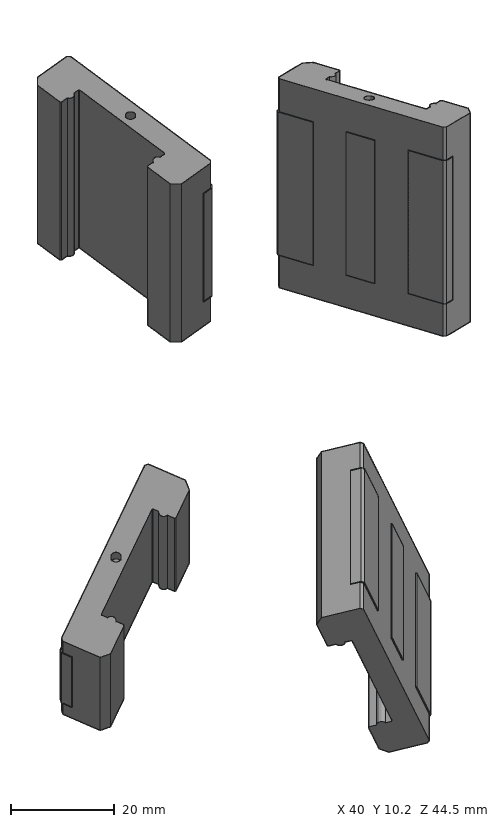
import cadquery as cq

length = 44.5
overall_width = 40.0
overall_depth = 10.2
side_pad_thickness = 0.165
back_pad_thickness = 0.245
body_width = overall_width - 2 * side_pad_thickness
body_depth = overall_depth - back_pad_thickness
front_chamfer = 1.5
back_chamfer = 0.55

channel_width = 23.75
channel_depth = 4.95
edge_chamfer = 0.2
rib_radius = 1.0
rib_height = 0.62
rib_y = 2.65

pad_length = 30.5
side_pad_reach = 2.55
pad_end_chamfer = 0.15
corner_pad_gap = 22.45
center_pad_width = 6.68

hole_diameter = 2.0
hole_depth = 4.0
hole_y = 7.2


def centered_box(width, depth, height, y_start):
    """Box centered on X and Z that starts at the given Y."""
    plane = cq.Workplane("XY", origin=(0, y_start, 0))
    return plane.box(width, depth, height, centered=(True, False, True))


def make_body():
    block = centered_box(body_width, body_depth, length, 0)
    block = block.faces("<Y").edges("|Z").chamfer(front_chamfer)
    block = block.faces(">Y").edges("|Z").chamfer(back_chamfer)
    channel = centered_box(channel_width, channel_depth, length, 0)
    channel = channel.faces(">Y").edges("|Z").chamfer(edge_chamfer)
    block = block.cut(channel)
    mouth_zone = cq.selectors.BoxSelector(
        (-body_width / 2 + front_chamfer + edge_chamfer, -edge_chamfer, -length),
        (body_width / 2 - front_chamfer - edge_chamfer, edge_chamfer, length),
    )
    mouth_edges = block.faces("<Y").edges("|Z").edges(mouth_zone)
    return mouth_edges.chamfer(edge_chamfer)


def make_rib(side):
    """Round bar sunk in a channel wall so that rib_height stands out."""
    center_x = side * (channel_width / 2 + rib_radius - rib_height)
    return (
        cq.Workplane("XY")
        .center(center_x, rib_y)
        .circle(rib_radius)
        .extrude(length / 2, both=True)
    )


def make_pads():
    """Two corner pads that wrap onto the sides, and a flat pad between them."""
    side_start = body_depth - side_pad_reach
    shell = centered_box(overall_width, overall_depth - side_start, pad_length, side_start)
    shell = shell.faces(">Y").edges("|Z").chamfer(back_chamfer)
    shell = shell.faces("<Y").edges("|Z").chamfer(pad_end_chamfer)
    gaps = centered_box(corner_pad_gap, back_pad_thickness, pad_length, body_depth)
    gaps = gaps.cut(centered_box(center_pad_width, back_pad_thickness, pad_length, body_depth))
    return shell.cut(gaps)


def make_hole():
    return (
        cq.Workplane("XY", origin=(0, hole_y, length / 2))
        .circle(hole_diameter / 2)
        .extrude(-hole_depth)
    )


result = make_body().union(make_pads())
for side in (-1, 1):
    result = result.union(make_rib(side))
result = result.cut(make_hole())